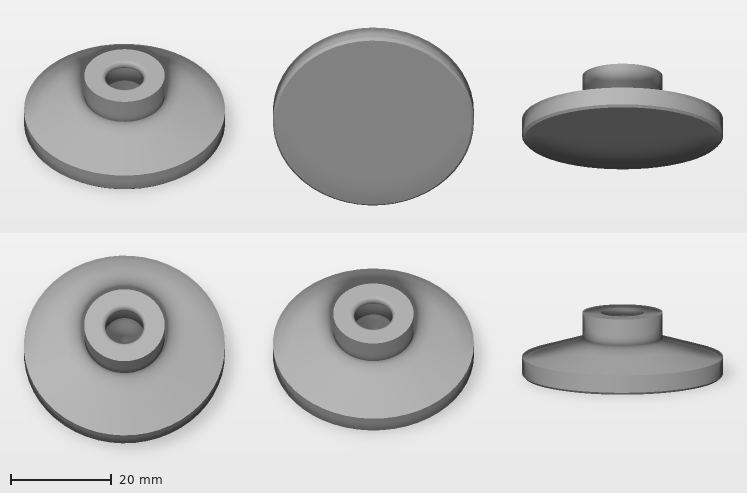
import cadquery as cq
import math

disc_radius = 20.0
disc_height = 4.0
bottom_chamfer = 0.5
neck_radius = 8.0
shoulder_height = 7.75
total_height = 13.0

bore_radius = 4.0
bore_depth = 4.8
throat_radius = 3.8
lip_rounding = 0.9
drill_point_angle = 118.0


def turned_body():
    """Disc with a conical shoulder rising to a cylindrical neck."""
    return (
        cq.Workplane("XZ")
        .lineTo(disc_radius - bottom_chamfer, 0)
        .lineTo(disc_radius, bottom_chamfer)
        .lineTo(disc_radius, disc_height)
        .lineTo(neck_radius, shoulder_height)
        .lineTo(neck_radius, total_height)
        .lineTo(0, total_height)
        .close()
        .revolve(360, (0, 0, 0), (0, 1, 0))
    )


def blind_hole():
    """Bore with a conical bottom; the lip arc narrows to the throat, then widens to the mouth."""
    bore_bottom = total_height - bore_depth
    tip_depth = bore_radius / math.tan(math.radians(drill_point_angle / 2))
    mouth_radius = throat_radius + lip_rounding
    throat_z = total_height - lip_rounding
    lip_drop = math.sqrt(lip_rounding**2 - (mouth_radius - bore_radius) ** 2)
    return (
        cq.Workplane("XZ")
        .moveTo(0, bore_bottom - tip_depth)
        .lineTo(bore_radius, bore_bottom)
        .lineTo(bore_radius, throat_z - lip_drop)
        .threePointArc((throat_radius, throat_z), (mouth_radius, total_height))
        .lineTo(0, total_height)
        .close()
        .revolve(360, (0, 0, 0), (0, 1, 0))
    )


result = turned_body().cut(blind_hole())